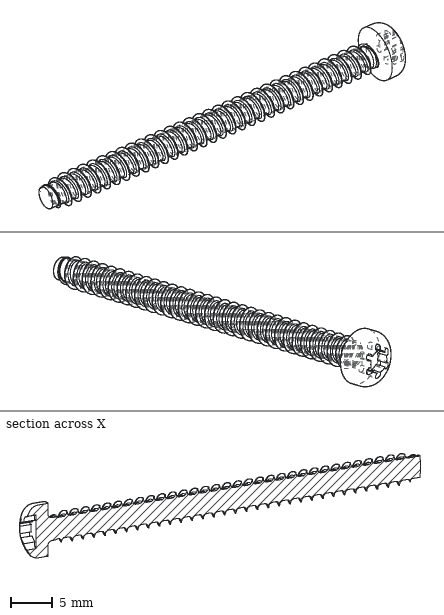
import cadquery as cq
import math

total_length = 53.05
head_height = 3.15
shank_length = total_length - head_height

head_radius = 3.5
rim_height = 1.3
dome_radius = 5.3

recess_depth = 1.5
recess_core_radius = 1.45
lobe_count = 6
lobe_tip_radius = 2.2
lobe_radius = 0.4

core_radius = 1.45
neck_radius = 1.55
neck_length = 0.95
neck_taper_length = 0.3
neck_fillet = 0.55
tip_cone_height = 0.1

pitch = 1.46
crest_radius = 2.0
crest_width = 0.08
flank_foot_radius = 1.6
flank_foot_width = 0.3
root_radius = 1.4
root_width = 0.95
thread_profile = [
    (root_radius, -root_width / 2),
    (flank_foot_radius, -flank_foot_width / 2),
    (crest_radius, -crest_width / 2),
    (crest_radius, crest_width / 2),
    (flank_foot_radius, flank_foot_width / 2),
    (root_radius, root_width / 2),
]

full_turns = 31
full_end_to_tip = 2.55
full_end = shank_length - full_end_to_tip
full_start = full_end - full_turns * pitch

start_runout_turns = 1.25
start_runout_fraction = 0.25
end_runout_turns = 1.5
end_runout_fraction = 0.2


def make_head():
    """Pan head: cylindrical rim, then a corner arc tangent to the rim and to the shallow dome."""
    dome_centre = head_height - math.sqrt(dome_radius**2 - recess_core_radius**2)
    rise = rim_height - dome_centre
    corner_radius = (dome_radius**2 - head_radius**2 - rise**2) / (2 * (dome_radius - head_radius))
    corner_centre = head_radius - corner_radius
    joint_angle = math.atan2(rise, corner_centre)
    corner_angle = joint_angle / 2
    dome_angle = (joint_angle + math.pi / 2) / 2
    joint = (dome_radius * math.cos(joint_angle), dome_centre + dome_radius * math.sin(joint_angle))
    corner_middle = (
        corner_centre + corner_radius * math.cos(corner_angle),
        rim_height + corner_radius * math.sin(corner_angle),
    )
    dome_middle = (
        dome_radius * math.cos(dome_angle),
        dome_centre + dome_radius * math.sin(dome_angle),
    )
    return (
        cq.Workplane("XY")
        .lineTo(head_radius, 0)
        .lineTo(head_radius, rim_height)
        .threePointArc(corner_middle, joint)
        .threePointArc(dome_middle, (0, dome_centre + dome_radius))
        .close()
        .revolve(360, (0, 0), (0, 1))
    )


def make_recess():
    """Six-lobe driver recess with two opposite lobes pointing along Z."""
    cutter_height = 2 * recess_depth
    floor = cq.Workplane("XZ", origin=(0, head_height - recess_depth, 0))
    recess = floor.circle(recess_core_radius).extrude(-cutter_height)
    lobes = (
        floor.polarArray(lobe_tip_radius - lobe_radius, 90, 360, lobe_count)
        .circle(lobe_radius)
        .extrude(-cutter_height)
    )
    return recess.union(lobes)


def make_core():
    """Plain shank: filleted neck, taper to the core diameter and a very flat conical tip."""
    fillet_middle = neck_fillet * (1 - math.sqrt(0.5))
    return (
        cq.Workplane("XY")
        .lineTo(neck_radius + neck_fillet, 0)
        .threePointArc((neck_radius + fillet_middle, -fillet_middle), (neck_radius, -neck_fillet))
        .lineTo(neck_radius, -neck_length)
        .lineTo(core_radius, -neck_length - neck_taper_length)
        .lineTo(core_radius, tip_cone_height - shank_length)
        .lineTo(0, -shank_length)
        .close()
        .revolve(360, (0, 0), (0, 1))
    )


def make_ridge(first_turn, last_turn, start_fraction, end_fraction):
    """Helical ridge running along -Y, with its section scaled steadily between two fractions.

    Turns are counted from the start of the full-height thread, which lies on the +X side.
    """
    turns = last_turn - first_turn
    start = full_start + first_turn * pitch
    rails = []
    for radius, offset in thread_profile:
        start_radius = root_radius + start_fraction * (radius - root_radius)
        growth = (end_fraction - start_fraction) * (radius - root_radius)
        rise = turns * pitch + (end_fraction - start_fraction) * offset
        cone_angle = math.atan2(growth, rise)
        slant_length = math.hypot(rise, growth)
        taper = {"angle": math.degrees(cone_angle)} if growth else {}
        rail = cq.Wire.makeHelix(slant_length / turns, slant_length, start_radius, **taper)
        rails.append(rail.translate(cq.Vector(0, 0, start + start_fraction * offset)))
    next_rails = rails[1:] + rails[:1]
    flanks = [cq.Face.makeRuledSurface(rail, other) for rail, other in zip(rails, next_rails)]
    start_corners = [rail.startPoint() for rail in rails]
    end_corners = [rail.endPoint() for rail in rails]
    caps = [
        cq.Face.makeFromWires(cq.Wire.makePolygon(corners, close=True))
        for corners in (start_corners, end_corners)
    ]
    ridge = cq.Solid.makeSolid(cq.Shell.makeShell(flanks + caps)).fix()
    turned = ridge.rotate(cq.Vector(), cq.Vector(0, 0, 1), 360 * first_turn)
    return turned.rotate(cq.Vector(), cq.Vector(1, 0, 0), 90)


def make_thread():
    """Sections of the right-hand thread: rise at the neck, fade at the tip, full height between."""
    return [
        make_ridge(-start_runout_turns, 0, start_runout_fraction, 1),
        make_ridge(full_turns, full_turns + end_runout_turns, 1, end_runout_fraction),
        make_ridge(0, full_turns, 1, 1),
    ]


screw = make_head().cut(make_recess()).union(make_core())
for section in make_thread():
    screw = screw.union(cq.Workplane(section), clean=False)
result = screw.solids()